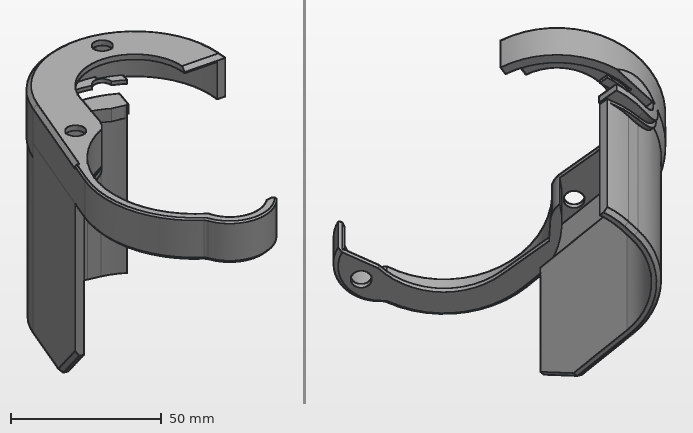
import cadquery as cq
import math

length = 129.5
height = 90.0
band_depth = 16.6
plate = 2.1
wall = 3.2
hole_diameter = 7.0

left_x, left_y = 36.0, 39.2
left_radius = 36.0
left_bore = 19.8
left_end_angle = 100

right_x, right_y = 86.0, 39.1
right_radius = 39.1
right_bore = 28.9

lobe_radius = 15.5
lobe_x, lobe_y = length - lobe_radius, left_y
tip_angle = 67

skirt_radius = 31.1
skirt_right = 74.3
skirt_back = 48.2
skirt_corner = 15.5
edge_chamfer = 1.5
rim_chamfer = 0.6
deck_corner_radius = 10.4
shelf_overlap = 0.3
neck_fillet = 2.6

notch_front = 30.7
notch_height = 8.3
notch_radius = 5.5
ramp_drop = 5.3
lip_depth = 9.0
lip = 3.5
lip_back = 48.8
relief_width, relief_height = 1.3, 3.2
left_hole = (8.5, 39.5)
through_holes = [(54.5, 9.6), (122.1, 39.5)]

band_bottom = height - band_depth
deck_bottom = height - plate
floor_top = band_bottom + plate
margin = 1.3
far = 2 * height

front_slope = math.asin((right_radius - left_radius + left_y - right_y) / (right_x - left_x))
tangent_angle = 270 - math.degrees(front_slope)


def on_circle(x, y, radius, angle):
    a = math.radians(angle)
    return (x + radius * math.cos(a), y + radius * math.sin(a))


def circle_crossing(x1, y1, r1, x2, y2, r2):
    """Crossing of two circles on the right of the direction from center 1 to center 2."""
    distance = math.hypot(x2 - x1, y2 - y1)
    along = (r1**2 - r2**2 + distance**2) / (2 * distance)
    angle = math.atan2(y2 - y1, x2 - x1) - math.acos(along / r1)
    return (x1 + r1 * math.cos(angle), y1 + r1 * math.sin(angle))


def box(x0, x1, y0, y1, z0, z1):
    return cq.Workplane("XY").box(x1 - x0, y1 - y0, z1 - z0, centered=False).translate((x0, y0, z0))


def disc(x, y, radius, z0, z1):
    return cq.Workplane("XY", origin=(x, y, z0)).circle(radius).extrude(z1 - z0)


def left_point(radius, angle):
    return on_circle(left_x, left_y, radius, angle)


def right_point(radius, angle):
    return on_circle(right_x, right_y, radius, angle)


front_left = left_point(left_radius, tangent_angle)
pocket_radius = right_radius - wall

skirt_x, skirt_y = left_point(left_radius - skirt_radius, tangent_angle)
front_right = right_point(right_radius, tangent_angle)


def band_blank():
    neck = circle_crossing(right_x, right_y, right_radius, lobe_x, lobe_y, lobe_radius)
    neck_angle = math.degrees(math.atan2(neck[1] - right_y, neck[0] - right_x))
    lobe_tip = on_circle(lobe_x, lobe_y, lobe_radius, tip_angle)
    deck_y = left_y - left_bore
    shelf_angle = 180 + math.degrees(math.asin(right_bore / pocket_radius))
    deck_angle = 180 + math.degrees(math.asin((right_y - deck_y) / pocket_radius))
    shelf_start = right_point(pocket_radius, shelf_angle)
    shelf_end = (shelf_start[0] + shelf_overlap, shelf_start[1])
    deck_corner = right_point(pocket_radius, deck_angle)
    blank = (
        cq.Workplane("XY", origin=(0, 0, band_bottom))
        .moveTo(*left_point(left_radius, left_end_angle))
        .threePointArc(left_point(left_radius, 180), front_left)
        .lineTo(*front_right)
        .threePointArc(right_point(right_radius, (tangent_angle - 360 + neck_angle) / 2), neck)
        .threePointArc(on_circle(lobe_x, lobe_y, lobe_radius, 0), lobe_tip)
        .lineTo(*right_point(right_bore, 0))
        .threePointArc(right_point(right_bore, -45), right_point(right_bore, -90))
        .lineTo(*shelf_end)
        .lineTo(*deck_corner)
        .lineTo(left_x, deck_y)
        .threePointArc(left_point(left_bore, 180), left_point(left_bore, left_end_angle))
        .close()
        .extrude(band_depth)
    )
    corner_edge = cq.selectors.NearestToPointSelector((*deck_corner, height - band_depth / 2))
    neck_edge = cq.selectors.NearestToPointSelector((*neck, height - band_depth / 2))
    blank = blank.edges("|Z").edges(corner_edge).fillet(deck_corner_radius)
    return blank.edges("|Z").edges(neck_edge).fillet(neck_fillet)


def chamfer_outline(body, face, size, points):
    """Chamfer the edges of a flat face whose middles lie nearest to the given points."""
    z = body.faces(face).val().Center().z
    edges = []
    for point in points:
        nearest = cq.selectors.NearestToPointSelector((*point, z))
        edges += body.faces(face).edges(nearest).vals()
    return body.newObject(edges).chamfer(size)


def band():
    blank = band_blank()
    left_arc = left_point(left_radius, (left_end_angle + tangent_angle) / 2)
    left_end = left_point((left_radius + left_bore) / 2, left_end_angle)
    right_arc = right_point(right_radius, -70)

    left_part = chamfer_outline(blank, ">Z", edge_chamfer, [left_arc, left_end])
    left_part = left_part.intersect(box(-margin, skirt_right, -margin, far, 0, far))
    right_part = chamfer_outline(blank, ">Z", rim_chamfer, [right_arc])
    right_part = chamfer_outline(right_part, "<Z", edge_chamfer, [right_arc])
    right_part = right_part.intersect(box(skirt_right, far, -margin, far, 0, far))
    return left_part.union(right_part)


def rim_pocket():
    """Upper recess of the right ring, open above the floor."""
    pocket = disc(right_x, right_y, pocket_radius, floor_top, far)
    return pocket.union(disc(lobe_x, lobe_y, lobe_radius - wall, floor_top, far))


def deck_underside():
    """Recess below the deck, inside the left ring and the front wall."""
    inner_radius = left_radius - wall
    front_strip = (
        cq.Workplane("XY")
        .polyline([
            (left_x, left_y),
            left_point(inner_radius, tangent_angle),
            right_point(right_radius - wall, tangent_angle),
            (right_x, right_y),
        ])
        .close()
        .extrude(deck_bottom)
    )
    recess = disc(left_x, left_y, inner_radius, 0, deck_bottom).union(front_strip)
    recess = recess.cut(disc(right_x, right_y, right_radius, 0, far))
    return recess.intersect(box(-margin, skirt_right, -margin, far, 0, far))


def skirt_outline(inset):
    """Closed outline of the skirt, moved inward by the inset and open to the back."""
    radius = skirt_radius - inset
    front_start = on_circle(skirt_x, skirt_y, radius, tangent_angle)
    slope = math.tan(front_slope)
    right_front = (skirt_right, front_start[1] - (skirt_right - front_start[0]) * slope)
    back_angle = 180 - math.degrees(math.asin((skirt_back - left_y) / radius))
    back_left = on_circle(skirt_x, left_y, radius, back_angle)
    return (
        cq.Workplane("XY")
        .moveTo(*back_left)
        .threePointArc(on_circle(skirt_x, left_y, radius, back_angle / 2 + 90), (skirt_x - radius, left_y))
        .lineTo(skirt_x - radius, skirt_y)
        .threePointArc(on_circle(skirt_x, skirt_y, radius, tangent_angle / 2 + 90), front_start)
        .lineTo(*right_front)
        .lineTo(skirt_right, skirt_back)
        .close()
    )


def skirt():
    body = skirt_outline(0).extrude(band_bottom + edge_chamfer)
    slanted_corner = (
        cq.Workplane("XZ", origin=(0, far, 0))
        .polyline([(skirt_right - skirt_corner, 0), (skirt_right, skirt_corner), (skirt_right, 0)])
        .close()
        .extrude(2 * far)
    )
    body = body.cut(slanted_corner)
    front_middle = ((front_left[0] + skirt_right) / 2, 0, 0)
    body = body.edges(cq.selectors.NearestToPointSelector(front_middle)).chamfer(edge_chamfer)
    slant_middle = (skirt_right - skirt_corner / 2, 0, skirt_corner / 2)
    body = body.edges(cq.selectors.NearestToPointSelector(slant_middle)).chamfer(edge_chamfer)
    hollow = skirt_outline(wall).extrude(far)
    return body.cut(hollow)


def shoulder():
    """Conical underside that carries the skirt out to the band."""
    cone = (
        cq.Workplane("XY", origin=(skirt_x, skirt_y, band_bottom + edge_chamfer - ramp_drop))
        .circle(skirt_radius)
        .workplane(offset=ramp_drop)
        .circle(skirt_radius + ramp_drop)
        .loft()
    )
    cone = cone.intersect(disc(left_x, left_y, left_radius, 0, far))
    cone = cone.cut(disc(skirt_x, skirt_y, skirt_radius - wall, 0, far))
    return cone.intersect(box(-margin, front_left[0], -margin, left_y, 0, far))


def notch_profile(offset, back, depth):
    """Round-cornered slot, open to the back, grown by the offset to the front and below."""
    front = notch_front - offset
    low = band_bottom - notch_height - offset
    radius = notch_radius + offset
    diagonal = radius * (1 - math.sqrt(0.5))
    return (
        cq.Workplane("YZ", origin=(-margin, 0, 0))
        .moveTo(back, band_bottom)
        .lineTo(front, band_bottom)
        .lineTo(front, low + radius)
        .threePointArc((front + diagonal, low + diagonal), (front + radius, low))
        .lineTo(back, low)
        .close()
        .extrude(depth + margin)
    )


def notch_lip():
    flange = notch_profile(lip, lip_back, lip_depth)
    root = notch_profile(lip + edge_chamfer, skirt_back, lip_depth)
    root = root.intersect(disc(skirt_x, skirt_y, skirt_radius + edge_chamfer, 0, far))
    flange = flange.intersect(disc(left_x, left_y, left_radius, 0, far))
    flange = flange.union(root).intersect(box(0, lip_depth, 0, far, 0, far))
    return flange.cut(disc(skirt_x, skirt_y, skirt_radius - wall, 0, far))


def band_relief():
    """Slanted cut on the band edge above the notch."""
    return (
        cq.Workplane("XZ", origin=(0, far, 0))
        .polyline([(0, band_bottom + relief_height), (relief_width, band_bottom), (0, band_bottom)])
        .close()
        .extrude(2 * far)
    )


clamp = band().cut(rim_pocket()).cut(deck_underside())
result = clamp.union(skirt()).union(shoulder()).union(notch_lip())
result = result.cut(notch_profile(0, far, skirt_radius / 2)).cut(band_relief())
result = result.cut(disc(*left_hole, hole_diameter / 2, band_bottom, far))
for x, y in through_holes:
    result = result.cut(disc(x, y, hole_diameter / 2, 0, far))